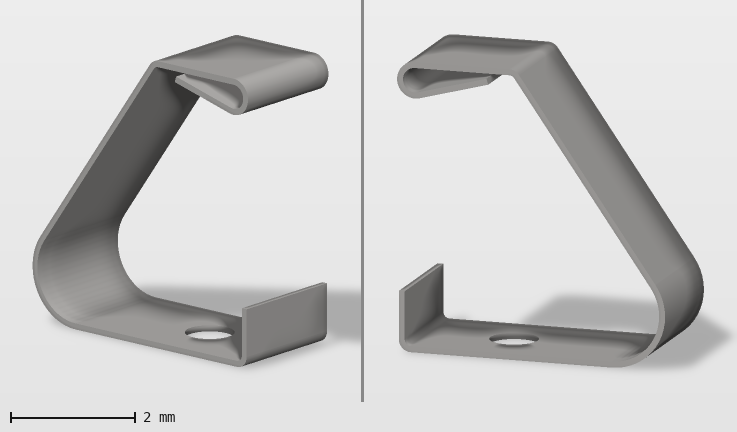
import cadquery as cq
import math


thickness = 0.1
strip_width = 2.0
height = 4.8
overall_length = 4.53

heel_radius = 0.9
shoulder_radius = 0.2
curl_radius = 0.3
toe_radius = 0.2

slope_angle = 55.0
tail_angle = 15.0
tail_length = 1.2
flange_height = 1.0
flange_face_x = 4.5

hole_diameter = 0.8
hole_x = 2.88


def polar(center, radius, angle):
    """Point at a distance and angle (degrees) from a center."""
    a = math.radians(angle)
    return (center[0] + radius * math.cos(a), center[1] + radius * math.sin(a))


slope_normal = 90 + slope_angle
heel_center = (heel_radius, heel_radius)
shoulder_z = height - shoulder_radius
heel_tangent = polar(heel_center, heel_radius, slope_normal)
shoulder_tangent_z = polar((0, shoulder_z), shoulder_radius, slope_normal)[1]
slope_run = (shoulder_tangent_z - heel_tangent[1]) / math.tan(math.radians(slope_angle))
shoulder_x = heel_tangent[0] + slope_run - polar((0, 0), shoulder_radius, slope_normal)[0]

curl_center = (overall_length - curl_radius, height - curl_radius)
tail_normal = -90 - tail_angle
bends = [
    (curl_center, curl_radius, tail_normal, 90),
    ((shoulder_x, shoulder_z), shoulder_radius, 90, slope_normal),
    (heel_center, heel_radius, slope_normal, 270),
    ((flange_face_x - toe_radius, toe_radius), toe_radius, 270, 360),
]


def tail_end(inset):
    """Corner of the tail's free end, at a depth below the outer face."""
    tangent = polar(curl_center, curl_radius - inset, tail_normal)
    return polar(tangent, tail_length, 180 - tail_angle)


def add_bend(outline, center, radius, start, end):
    """Draw a straight run up to the bend, then the bend itself."""
    return outline.lineTo(*polar(center, radius, start)).threePointArc(
        polar(center, radius, (start + end) / 2), polar(center, radius, end)
    )


outline = cq.Workplane("XZ").moveTo(*tail_end(0))
for center, radius, start, end in bends:
    outline = add_bend(outline, center, radius, start, end)
outline = outline.lineTo(flange_face_x, flange_height)
outline = outline.lineTo(flange_face_x - thickness, flange_height)
for center, radius, start, end in reversed(bends):
    outline = add_bend(outline, center, radius - thickness, end, start)
outline = outline.lineTo(*tail_end(thickness)).close()
strip = outline.extrude(strip_width / 2, both=True)

base_hole = cq.Workplane("XY").center(hole_x, 0).circle(hole_diameter / 2).extrude(thickness)

result = strip.cut(base_hole)